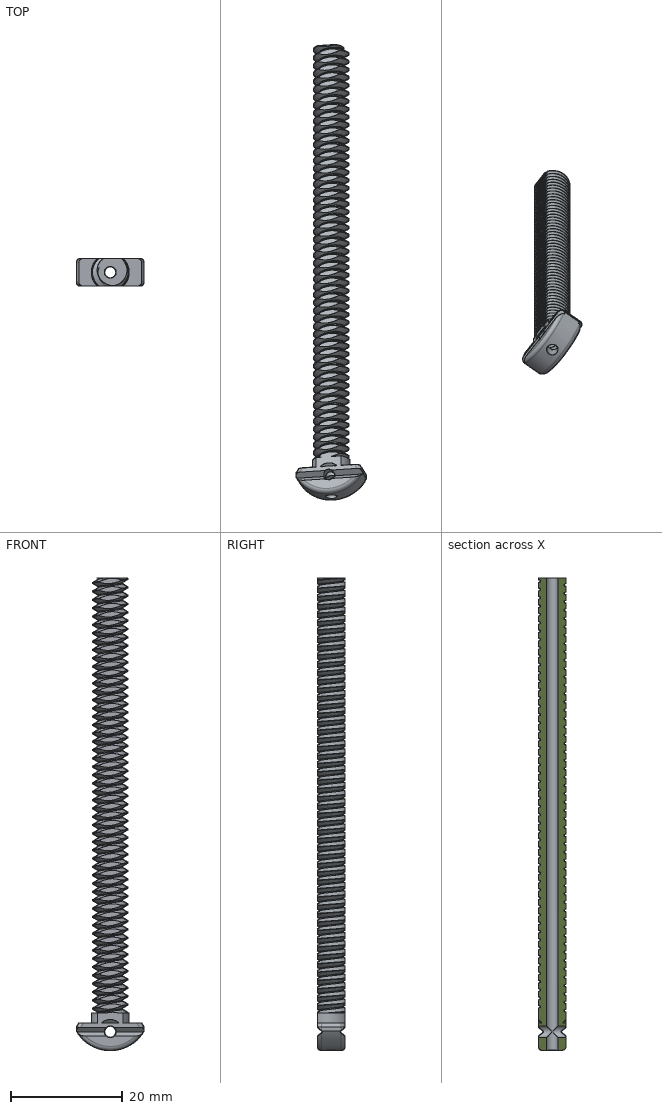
import cadquery as cq
import math

total_height = 84.98
flat_width = 5.0

head_length = 12.2
head_height = 5.0
head_round_radius = 7.0
head_edge_fillet = 0.75
end_chamfer_length = 0.45
end_chamfer_drop = 0.7

groove_depth = 0.95
groove_half_height = 0.8
groove_z = -1.6
hole_diameter = 2.0
recess_radius = 2.2

neck_height = 1.8
neck_radius = 3.4

thread_pitch = 1.5
crest_radius = 3.2
root_radius = 2.2
crest_width = 0.1
tooth_base_width = 1.3
root_overlap = 0.1
turns_per_section = 4
sewing_tolerance = 1e-4

thread_top = total_height - head_height


def between_flats(body):
    """Keep the part of a body that lies between the two flats."""
    slab = cq.Workplane("XY").box(2 * head_length, flat_width, 4 * total_height)
    return body.intersect(slab)


def make_head():
    half_length = head_length / 2
    arc_center_z = head_round_radius - head_height
    end_bottom_z = arc_center_z - math.sqrt(head_round_radius**2 - half_length**2)
    head = (
        cq.Workplane("XZ")
        .moveTo(end_chamfer_length - half_length, 0)
        .lineTo(half_length - end_chamfer_length, 0)
        .lineTo(half_length, -end_chamfer_drop)
        .lineTo(half_length, end_bottom_z)
        .threePointArc((0, -head_height), (-half_length, end_bottom_z))
        .lineTo(-half_length, -end_chamfer_drop)
        .close()
        .extrude(flat_width / 2, both=True)
    )
    return head.edges("(<Y or >Y) and (not >Z)").fillet(head_edge_fillet)


def cut_side_grooves(body):
    for side in (-1, 1):
        face_y = side * flat_width / 2
        groove = (
            cq.Workplane("YZ")
            .moveTo(face_y, groove_z + groove_half_height)
            .lineTo(face_y - side * groove_depth, groove_z)
            .lineTo(face_y, groove_z - groove_half_height)
            .close()
            .extrude(head_length, both=True)
        )
        body = body.cut(groove)
    return body


def make_neck():
    """Round neck with two flats and, in each flat, a conical recess that ends at the head."""
    neck = between_flats(cq.Workplane("XY").circle(neck_radius).extrude(neck_height))
    for side in (-1, 1):
        recess = cq.Solid.makeCone(
            recess_radius,
            0,
            recess_radius,
            pnt=cq.Vector(0, side * flat_width / 2, groove_z),
            dir=cq.Vector(0, -side, 0),
        )
        neck = neck.cut(cq.Workplane(recess))
    return neck


def make_thread_section(length):
    """A flat-ended length of right-hand thread, from z = 0 up, with a crest facing +X at z = 0."""
    inner_radius = root_radius - root_overlap
    flank_slope = (tooth_base_width - crest_width) / 2 / (crest_radius - root_radius)
    inner_half_width = tooth_base_width / 2 + flank_slope * root_overlap
    path = cq.Wire.makeHelix(thread_pitch, length + 2 * thread_pitch, inner_radius)
    tooth = (
        cq.Workplane("XZ")
        .moveTo(inner_radius, -inner_half_width)
        .lineTo(crest_radius, -crest_width / 2)
        .lineTo(crest_radius, crest_width / 2)
        .lineTo(inner_radius, inner_half_width)
        .close()
        .sweep(cq.Workplane(path), isFrenet=True)
        .translate((0, 0, -thread_pitch))
    )
    core = cq.Workplane("XY").circle(root_radius).extrude(length)
    slab = cq.Workplane("XY").box(2 * head_length, flat_width, length, centered=(True, True, False))
    return core.union(tooth.intersect(slab))


def make_thread():
    """Thread sections stacked end to end; their outer faces are sewn into one solid."""
    thread_length = thread_top - neck_height
    section_length = turns_per_section * thread_pitch
    full_count = math.floor(thread_length / section_length)
    full_section = make_thread_section(section_length)
    top_section = make_thread_section(thread_length - full_count * section_length)

    side_faces = full_section.faces("not (<Z or >Z)").vals()
    outer_faces = full_section.faces("<Z").vals()
    for i in range(full_count):
        rise = cq.Vector(0, 0, i * section_length)
        outer_faces += [face.translate(rise) for face in side_faces]
    rise = cq.Vector(0, 0, full_count * section_length)
    outer_faces += [face.translate(rise) for face in top_section.faces("not <Z").vals()]
    skin = cq.occ_impl.shapes.shell(*outer_faces, tol=sewing_tolerance)
    thread = cq.Solid.makeSolid(skin)
    return cq.Workplane(thread).translate((0, 0, neck_height))


def drill_holes(body):
    bore = cq.Workplane("XY").circle(hole_diameter / 2).extrude(2 * total_height, both=True)
    cross_hole = (
        cq.Workplane("XZ")
        .center(0, groove_z)
        .circle(hole_diameter / 2)
        .extrude(flat_width, both=True)
    )
    return body.cut(bore).cut(cross_hole)


head = cut_side_grooves(make_head())
result = drill_holes(head.union(make_neck()).union(make_thread()))